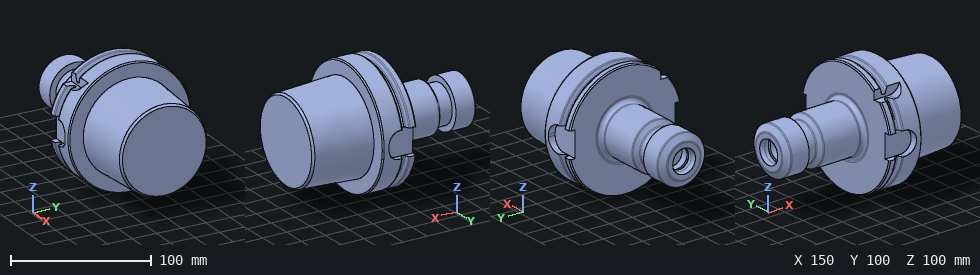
import cadquery as cq
import math


flange_radius = 50.0
flange_width = 29.0
flange_chamfer = 1.0

groove_center_x = -20.0
groove_depth = 4.0
groove_floor_half_width = 1.5
groove_wall_angle = 22.5
groove_lip_radius = 1.0
groove_corner_radius = 1.0

shank_length = 50.0
shank_base_radius = 38.05
shank_tip_radius = 35.5
shank_tip_chamfer_length = 1.8
shank_tip_chamfer_height = 1.5

nose_length = 71.0
nose_radius = 21.0
nose_face_radius = 14.8
nose_slope_angle = 60.0
nose_edge_radius = 1.0
nose_face_edge_radius = 2.0
neck_radius = 16.0
head_length = 20.0
neck_length = 10.7

relief_depth = 0.1
root_fillet_radius = 3.5
relief_ramp = 1.2

bore_radius = 9.0
bore_mouth_radius = 10.0
bore_mouth_angle = 15.0
bore_depth = 15.0
ring_groove_radius = 11.0
ring_groove_start = 7.1
ring_groove_width = 1.8

slot_end_radius = 10.0
slot_end_x = -5.0
slot_floor_distance = 44.0
front_slot_width = 20.0
back_slot_width = 22.0
notch_offset = 31.4

flange_face_x = -flange_width
nose_tip_x = flange_face_x - nose_length
neck_start_x = nose_tip_x + head_length
collar_start_x = neck_start_x + neck_length
slope_tangent = math.tan(math.radians(nose_slope_angle))


def revolve_about_x(profile):
    return profile.close().revolve(360, (0, 0, 0), (1, 0, 0))


def edges_on_circle(body, x, radius):
    """Select the circular edges centred on the X axis at a given X and radius."""
    tolerance = 0.01
    return body.edges(
        cq.selectors.BoxSelector(
            (x - tolerance, -radius - tolerance, -radius - tolerance),
            (x + tolerance, radius + tolerance, radius + tolerance),
            boundingbox=True,
        )
    ).edges("%CIRCLE")


def make_nose():
    head_edge_x = nose_tip_x + (nose_radius - nose_face_radius) / slope_tangent
    collar_edge_x = collar_start_x + (nose_radius - neck_radius) / slope_tangent
    relieved_radius = nose_radius - relief_depth
    relief_x = flange_face_x + relief_depth
    fillet_start_x = relief_x - root_fillet_radius
    fillet_end_radius = relieved_radius + root_fillet_radius
    fillet_drop = root_fillet_radius * math.sqrt(0.5)
    profile = (
        cq.Workplane("XZ")
        .moveTo(nose_tip_x, 0)
        .lineTo(nose_tip_x, nose_face_radius)
        .lineTo(head_edge_x, nose_radius)
        .lineTo(neck_start_x, nose_radius)
        .lineTo(neck_start_x, neck_radius)
        .lineTo(collar_start_x, neck_radius)
        .lineTo(collar_edge_x, nose_radius)
        .lineTo(fillet_start_x - relief_ramp, nose_radius)
        .lineTo(fillet_start_x, relieved_radius)
        .threePointArc(
            (fillet_start_x + fillet_drop, fillet_end_radius - fillet_drop),
            (relief_x, fillet_end_radius),
        )
        .lineTo(relief_x, 0)
    )
    nose = revolve_about_x(profile)
    rounded_edges = (
        (head_edge_x, nose_radius),
        (collar_start_x, neck_radius),
        (collar_edge_x, nose_radius),
    )
    for x, radius in rounded_edges:
        nose = edges_on_circle(nose, x, radius).fillet(nose_edge_radius)
    return edges_on_circle(nose, nose_tip_x, nose_face_radius).fillet(nose_face_edge_radius)


def make_flange():
    groove_floor_radius = flange_radius - groove_depth
    wall_run = groove_depth * math.tan(math.radians(groove_wall_angle))
    mouth_half_width = groove_floor_half_width + wall_run
    profile = (
        cq.Workplane("XZ")
        .moveTo(flange_face_x, 0)
        .lineTo(flange_face_x, flange_radius)
        .lineTo(groove_center_x - mouth_half_width, flange_radius)
        .lineTo(groove_center_x - groove_floor_half_width, groove_floor_radius)
        .lineTo(groove_center_x + groove_floor_half_width, groove_floor_radius)
        .lineTo(groove_center_x + mouth_half_width, flange_radius)
        .lineTo(0, flange_radius)
        .lineTo(0, 0)
    )
    flange = revolve_about_x(profile)
    for x in (flange_face_x, 0):
        flange = edges_on_circle(flange, x, flange_radius).chamfer(flange_chamfer)
    for side in (-1, 1):
        mouth_x = groove_center_x + side * mouth_half_width
        floor_x = groove_center_x + side * groove_floor_half_width
        flange = edges_on_circle(flange, mouth_x, flange_radius).fillet(groove_lip_radius)
        flange = edges_on_circle(flange, floor_x, groove_floor_radius).fillet(groove_corner_radius)
    return flange


def cut_face_relief(flange):
    """Sink the flange face slightly around the root fillet, ramping back to the face."""
    inner_radius = nose_radius - relief_depth + root_fillet_radius
    profile = (
        cq.Workplane("XZ")
        .moveTo(flange_face_x, 0)
        .lineTo(flange_face_x, inner_radius + relief_ramp)
        .lineTo(flange_face_x + relief_depth, inner_radius)
        .lineTo(flange_face_x + relief_depth, 0)
    )
    return flange.cut(revolve_about_x(profile))


def make_shank():
    profile = (
        cq.Workplane("XZ")
        .lineTo(0, shank_base_radius)
        .lineTo(shank_length - shank_tip_chamfer_length, shank_tip_radius)
        .lineTo(shank_length, shank_tip_radius - shank_tip_chamfer_height)
        .lineTo(shank_length, 0)
    )
    return revolve_about_x(profile)


def make_bore():
    mouth_step = bore_mouth_radius - bore_radius
    mouth_end_x = nose_tip_x + mouth_step / math.tan(math.radians(bore_mouth_angle))
    groove_start_x = nose_tip_x + ring_groove_start
    groove_end_x = groove_start_x + ring_groove_width
    bore_end_x = nose_tip_x + bore_depth
    profile = (
        cq.Workplane("XZ")
        .moveTo(nose_tip_x, 0)
        .lineTo(nose_tip_x, bore_mouth_radius)
        .lineTo(mouth_end_x, bore_radius)
        .lineTo(groove_start_x, bore_radius)
        .lineTo(groove_start_x, ring_groove_radius)
        .lineTo(groove_end_x, ring_groove_radius)
        .lineTo(groove_end_x, bore_radius)
        .lineTo(bore_end_x, bore_radius)
        .lineTo(bore_end_x, 0)
    )
    return revolve_about_x(profile)


def box_between(low, high):
    size = [b - a for a, b in zip(low, high)]
    return cq.Workplane("XY").box(*size, centered=False).translate(low)


def make_drive_slot(side, width):
    """Slot with round end corners, on the side of the flange given by the sign of Y."""
    near_y, far_y = sorted((side * slot_floor_distance, side * flange_radius))
    end_center_x = slot_end_x - slot_end_radius
    corner_z = width / 2 - slot_end_radius
    slot = box_between((flange_face_x, near_y, -width / 2), (end_center_x, far_y, width / 2))
    if corner_z > 0:
        middle = box_between((flange_face_x, near_y, -corner_z), (slot_end_x, far_y, corner_z))
        slot = slot.union(middle)
    for z in (-corner_z, corner_z):
        corner = cq.Workplane("XZ", origin=(end_center_x, far_y, z)).circle(slot_end_radius)
        slot = slot.union(corner.extrude(far_y - near_y))
    return slot


def make_notch():
    notch = box_between(
        (flange_face_x, -flange_radius, notch_offset),
        (slot_end_x, -notch_offset, flange_radius),
    )
    return notch.edges("|Y and >X and <Z").fillet(slot_end_radius)


flange = cut_face_relief(make_flange())
flange = flange.cut(make_drive_slot(-1, front_slot_width))
flange = flange.cut(make_drive_slot(1, back_slot_width))
flange = flange.cut(make_notch())

result = flange.union(make_nose()).union(make_shank()).cut(make_bore())